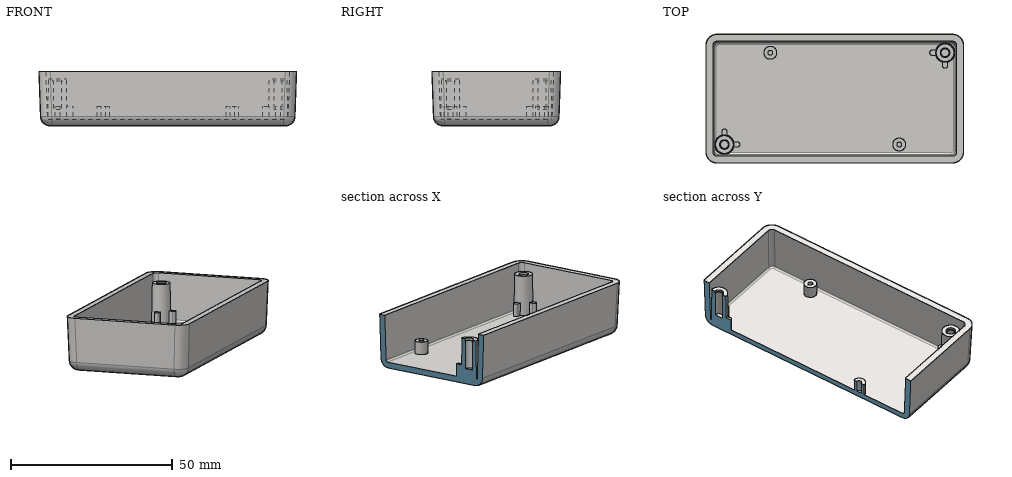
import cadquery as cq

length = 80.0
width = 40.0
height = 17.0
draft_angle = 2.0
outer_corner_radius = 3.5
bottom_edge_radius = 3.0

rim_width = 2.2
floor_thickness = 2.0
inner_corner_radius = outer_corner_radius - rim_width
floor_fillet_radius = 0.6

post_x = 34.2
post_y = 14.2
post_base_diameter = 6.0
post_top_diameter = 5.5
post_top_z = 14.6
screw_hole_diameter = 2.5
screw_hole_depth = 9.6
counterbore_diameter = 3.0
counterbore_depth = 0.7

rib_width = 1.6
rib_reach = 4.8
rib_height = 4.0

standoff_x = 20.0
standoff_y = post_y
standoff_diameter = 4.0
standoff_height = 4.0
standoff_hole_diameter = 1.5


def drafted_block(top_length, top_width, bottom_z):
    """Block whose walls lean inwards from the rim down to bottom_z."""
    depth = height - bottom_z
    return (
        cq.Workplane("XY")
        .workplane(offset=height)
        .rect(top_length, top_width)
        .extrude(-depth, taper=draft_angle)
    )


def rounded_block(top_length, top_width, bottom_z, corner_radius, bottom_radius):
    """Drafted block with rounded corners and a rounded bottom edge."""
    block = drafted_block(top_length, top_width, bottom_z)
    block = block.edges("not(#Z)").fillet(corner_radius)
    return block.faces("<Z").edges().fillet(bottom_radius)


def screw_post():
    """Tapered post with two round-ended ribs along +X and +Y, centred on the Z axis."""
    post_height = post_top_z - floor_thickness
    post = (
        cq.Workplane("XY")
        .workplane(offset=floor_thickness)
        .circle(post_base_diameter / 2)
        .workplane(offset=post_height)
        .circle(post_top_diameter / 2)
        .loft()
    )
    straight_rib_length = rib_reach - rib_width / 2
    rib = (
        cq.Workplane("XY")
        .workplane(offset=floor_thickness)
        .moveTo(0, -rib_width / 2)
        .lineTo(straight_rib_length, -rib_width / 2)
        .threePointArc((rib_reach, 0), (straight_rib_length, rib_width / 2))
        .lineTo(0, rib_width / 2)
        .close()
        .extrude(rib_height)
    )
    return post.union(rib).union(rib.rotate((0, 0, 0), (0, 0, 1), 90))


def cylinder_below_post_top(diameter, depth):
    """Upright cylinder reaching down from the level of the post tops."""
    return (
        cq.Workplane("XY")
        .workplane(offset=post_top_z)
        .circle(diameter / 2)
        .extrude(-depth)
    )


def screw_hole():
    """Blind counterbored screw hole, centred on the Z axis."""
    hole = cylinder_below_post_top(screw_hole_diameter, screw_hole_depth)
    counterbore = cylinder_below_post_top(counterbore_diameter, counterbore_depth)
    return hole.union(counterbore)


def standoff():
    """Short tube standing on the floor, centred on the Z axis."""
    return (
        cq.Workplane("XY")
        .workplane(offset=floor_thickness)
        .circle(standoff_diameter / 2)
        .circle(standoff_hole_diameter / 2)
        .extrude(standoff_height)
    )


def half_turn(shape):
    """Copy of the shape turned 180 degrees about the Z axis."""
    return shape.rotate((0, 0, 0), (0, 0, 1), 180)


shell = rounded_block(length, width, 0, outer_corner_radius, bottom_edge_radius)
cavity = rounded_block(
    length - 2 * rim_width,
    width - 2 * rim_width,
    floor_thickness,
    inner_corner_radius,
    floor_fillet_radius,
)
result = shell.cut(cavity)

corner_post = screw_post().translate((-post_x, -post_y, 0))
corner_hole = screw_hole().translate((-post_x, -post_y, 0))
side_standoff = standoff().translate((-standoff_x, standoff_y, 0))

for placed in (corner_post, side_standoff):
    result = result.union(placed).union(half_turn(placed))
result = result.cut(corner_hole).cut(half_turn(corner_hole))